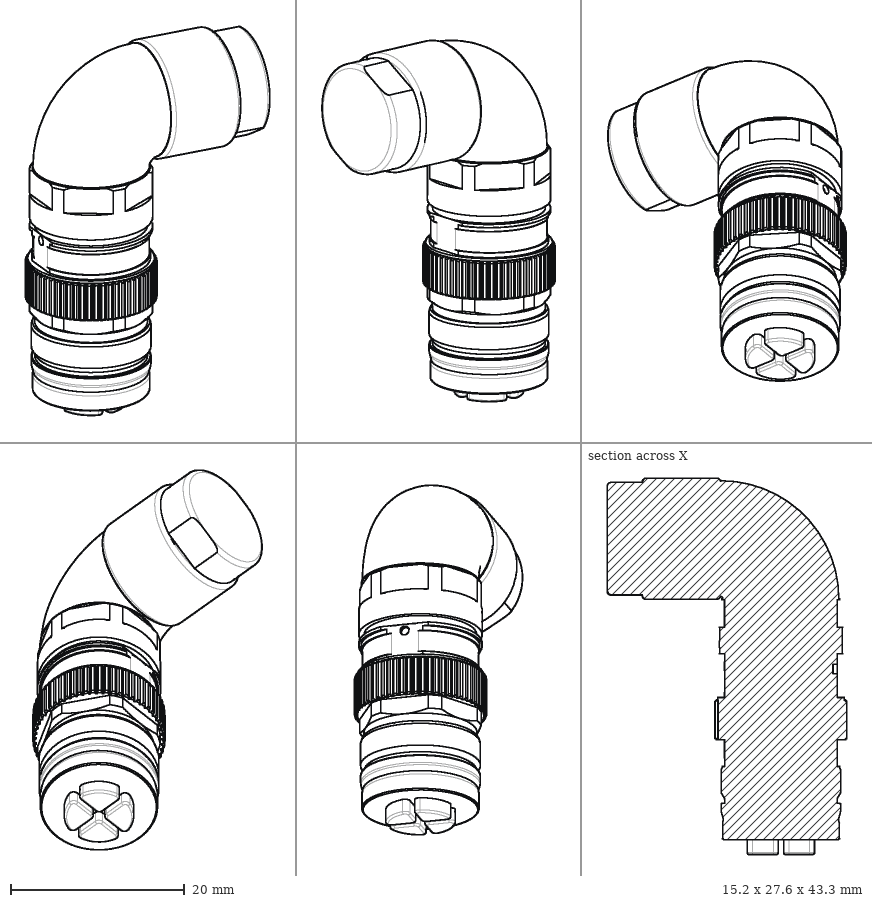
import cadquery as cq
import math


EPS = 0.01

body_bottom = 1.7
knurl_bottom = 13.2
knurl_top = 17.8
disc_top = 18.1
lock_body_bottom = 18.64
lock_body_top = 21.18
flange_bottom = 21.73
flange_top = 22.12
cap_bottom = 23.1
cap_hex_bottom = 26.17
cap_top = 29.3
lip_top = 29.43

neck_radius = 6.5
body_radius = 6.75
ring_radius = 6.9
lock_body_radius = 6.7
lock_ring_radius = 6.85
hex_corner_radius = 7.1
disc_radius = 7.3
lip_radius = 6.8
hex_across_flats = 13.0

body_edge_chamfer = 0.15
taper_bottom = 4.05
taper_top = 4.75
ring_bottom = 5.0
ring_top = 5.93
ring_edge_chamfer = 0.1
taper_start = 3.65
taper_small_radius = 6.65
taper_large_radius = 6.85
groove_cone_bottom = 6.43
band_bottom = 7.1
band_top = 9.76
band_neck_bottom = 10.15
band_shoulder_radius = 6.75
nut_bottom = 11.16
nut_chamfer_top = 11.57

knurl_radius = 7.6
knurl_valley_radius = 7.25
knurl_count = 59
knurl_tip_share = 0.42
knurl_valley_share = 0.2
knurl_edge_chamfer = 0.2

mark_diameter = 1.05
mark_depth = 0.5
mark_height = 21.36

cap_chamfer = 0.3

contact_radius = 4.0
contact_half_gap = 0.3
contact_corner_fillet = 0.6
contact_end_fillet = 0.25

collar_radius = 7.0
overall_height = 43.34
gland_height = overall_height - collar_radius
bend_radius = gland_height - lip_top
tube_radius = 6.7
collar_start = bend_radius
collar_end = 15.96
gland_end = 20.0
gland_radius = 6.5
gland_flat_across = 12.0
gland_flat_tilt = 30.0
gland_edge_fillet = 0.5


def disc(radius, bottom, top):
    """Solid cylinder on the Z axis between two levels."""
    return cq.Workplane("XY").workplane(offset=bottom).circle(radius).extrude(top - bottom)


def hex_bar(bottom, top):
    """Hexagonal bar with flats facing -Y and +Y."""
    across_corners = hex_across_flats / math.cos(math.pi / 6)
    return cq.Workplane("XY").workplane(offset=bottom).polygon(6, across_corners).extrude(top - bottom)


def turned(profile):
    """Turn (radius, level) points, closed along the Z axis, into a solid."""
    points = [(0, profile[0][1])] + profile + [(0, profile[-1][1])]
    return cq.Workplane("XZ").polyline(points).close().revolve(360, (0, 0), (0, 1))


def make_lower_sleeve():
    """Plug sleeve with its grooves, from the front rim up to the nut."""
    return turned([
        (body_radius - body_edge_chamfer, body_bottom),
        (body_radius, body_bottom + body_edge_chamfer),
        (body_radius, taper_start),
        (taper_small_radius, taper_bottom),
        (taper_large_radius, taper_top),
        (ring_radius, ring_bottom),
        (ring_radius, ring_top - ring_edge_chamfer),
        (ring_radius - ring_edge_chamfer, ring_top),
        (neck_radius, ring_top),
        (neck_radius, groove_cone_bottom),
        (ring_radius, band_bottom),
        (ring_radius, band_top),
        (band_shoulder_radius, band_neck_bottom),
        (neck_radius, band_neck_bottom),
        (neck_radius, nut_bottom + EPS),
    ])


def make_nut():
    """Hexagonal nut with rounded corners and a chamfered lower edge."""
    envelope = turned([
        (neck_radius, nut_bottom),
        (hex_corner_radius, nut_chamfer_top),
        (hex_corner_radius, knurl_bottom + EPS),
    ])
    return envelope.intersect(hex_bar(nut_bottom, knurl_bottom + EPS))


def make_knurled_ring():
    """Ring with straight trapezoidal teeth, one of them facing -Y."""
    pitch = 2 * math.pi / knurl_count
    half_tip = knurl_tip_share * pitch / 2
    half_root = (1 - knurl_valley_share) * pitch / 2
    tooth = [
        (knurl_valley_radius, -half_root),
        (knurl_radius, -half_tip),
        (knurl_radius, half_tip),
        (knurl_valley_radius, half_root),
    ]
    points = []
    for index in range(knurl_count):
        middle = index * pitch - math.pi / 2
        for radius, offset in tooth:
            angle = middle + offset
            points.append((radius * math.cos(angle), radius * math.sin(angle)))
    teeth = cq.Workplane("XY").workplane(offset=knurl_bottom).polyline(points).close()
    teeth = teeth.extrude(knurl_top - knurl_bottom)
    envelope = disc(knurl_radius, knurl_bottom, knurl_top).edges().chamfer(knurl_edge_chamfer)
    return teeth.intersect(envelope).union(disc(disc_radius, knurl_top - EPS, disc_top))


def make_locking_section():
    """Stepped section with two flats facing -Y and +Y and a round coding mark."""
    section = turned([
        (lock_ring_radius, disc_top - EPS),
        (lock_ring_radius, lock_body_bottom),
        (lock_body_radius, lock_body_bottom),
        (lock_body_radius, lock_body_top),
        (lock_ring_radius, lock_body_top),
        (lock_ring_radius, flange_bottom),
        (hex_corner_radius, flange_bottom),
        (hex_corner_radius, flange_top),
    ])
    slab_height = flange_top - disc_top + 2 * EPS
    slab = cq.Workplane("XY").workplane(offset=disc_top - EPS)
    slab = slab.rect(3 * hex_corner_radius, hex_across_flats).extrude(slab_height)
    mark = cq.Workplane("XZ", origin=(0, -hex_across_flats / 2 + mark_depth, mark_height))
    mark = mark.circle(mark_diameter / 2).extrude(2 * mark_depth)
    neck = disc(neck_radius, flange_top - EPS, cap_bottom + EPS)
    return section.intersect(slab).cut(mark).union(neck)


def make_cap():
    """Round cap whose upper part carries six wrench flats, with a thin lip on top."""
    cap = disc(hex_corner_radius, cap_bottom, cap_top).faces(">Z").edges().chamfer(cap_chamfer)
    wrench = hex_bar(cap_hex_bottom, cap_top)
    envelope = wrench.union(disc(hex_corner_radius, cap_bottom, cap_hex_bottom))
    return cap.intersect(envelope).union(disc(lip_radius, cap_top - EPS, lip_top))


def make_contacts():
    """Four quarter-round contact carriers below the sleeve."""
    side = math.sqrt(contact_radius ** 2 - contact_half_gap ** 2)
    diagonal = contact_radius * math.sqrt(0.5)
    quarter = (
        cq.Workplane("XY")
        .moveTo(contact_half_gap, contact_half_gap)
        .lineTo(side, contact_half_gap)
        .threePointArc((diagonal, diagonal), (contact_half_gap, side))
        .close()
        .extrude(body_bottom + EPS)
        .edges("|Z").fillet(contact_corner_fillet)
        .faces("<Z").edges().fillet(contact_end_fillet)
    )
    return [quarter.rotate((0, 0, 0), (0, 0, 1), 90 * index) for index in range(4)]


def make_elbow():
    """Quarter bend that leads from the cap to the gland."""
    bend = cq.Workplane("XY").workplane(offset=lip_top).circle(tube_radius)
    return bend.revolve(90, (1, bend_radius, 0), (-1, bend_radius, 0))


def gland_cylinder(radius, start, end):
    """Cylinder on the horizontal gland axis."""
    plane = cq.Workplane("XZ", origin=(0, start, gland_height))
    return plane.circle(radius).extrude(start - end)


def make_gland():
    """Round collar and an end piece with two opposite tilted wrench flats."""
    collar = gland_cylinder(collar_radius, collar_start - EPS, collar_end)
    collar = collar.edges().fillet(gland_edge_fillet)
    end_piece = gland_cylinder(gland_radius, collar_end - EPS, gland_end)
    end_piece = end_piece.faces(">Y").edges().fillet(gland_edge_fillet)
    slab_length = gland_end - collar_end + 2 * EPS
    slab = cq.Workplane("XZ", origin=(0, collar_end - EPS, gland_height))
    slab = slab.transformed(rotate=(0, 0, gland_flat_tilt))
    slab = slab.rect(3 * gland_radius, gland_flat_across).extrude(-slab_length)
    return collar.union(end_piece.intersect(slab))


result = make_lower_sleeve()
upper_parts = [
    make_nut(),
    make_knurled_ring(),
    make_locking_section(),
    make_cap(),
    make_elbow(),
    make_gland(),
]
for part in upper_parts + make_contacts():
    result = result.union(part)